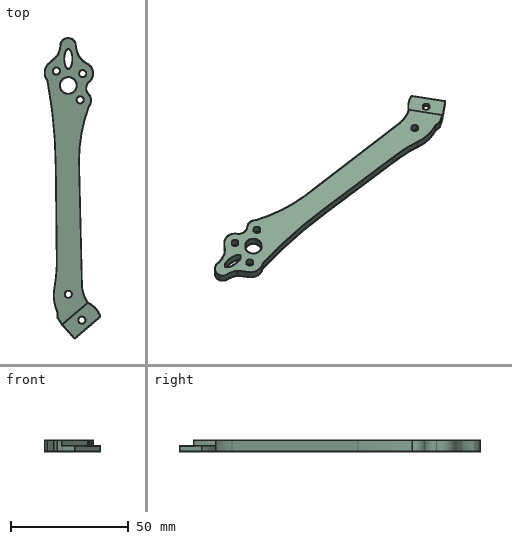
import cadquery as cq
import math

THICKNESS = 5.0
TAB_THICKNESS = THICKNESS / 2
SCREW_DIAMETER = 3.0
SHAFT_DIAMETER = 7.0

MOTOR_SCREW_RADIUS = 7.9
MOTOR_SCREW_START_ANGLE = 39.5
MOTOR_SCREW_STEPS = (-1, 0, 1)

OPENING_Y = 11.2
OPENING_LENGTH = 8.5
OPENING_WIDTH = 3.3

ARM_SCREW = (0, -88.7)
TAB_SCREW = (5.8, -99.7)
STEP_LEFT = (-2.7, -101.6)
STEP_RIGHT = (8.3, -92.3)
TAB_TIP = (2.7, -107.6)
TAB_CORNER = (13.7, -98.2)

NOSE_TOP = (0, 20.2)
NOSE_LEFT = (-3.3, 17.8)
NOSE_RIGHT = (3.2, 17.8)


def make_outline():
    """Closed arm profile, drawn counter-clockwise from the left of the nose."""
    profile = cq.Workplane("XY").moveTo(*NOSE_LEFT)
    profile = profile.threePointArc((-3.7, 15.2), (-4.7, 12.7)).lineTo(-8.5, 9.2)
    profile = profile.threePointArc((-10.1, 5.8), (-9.0, 2.2))
    profile = profile.threePointArc((-6.4, -15.6), (-5.4, -35.2)).lineTo(-5.0, -72.5)
    profile = profile.threePointArc((-5.1, -79.3), (-5.9, -85.7))
    profile = profile.threePointArc((-6.1, -91.0), (-4.6, -96.4))
    profile = profile.lineTo(-4.6, -98.7).lineTo(*STEP_LEFT)
    profile = profile.lineTo(*TAB_TIP).lineTo(*TAB_CORNER)
    profile = profile.threePointArc((11.6, -94.7), STEP_RIGHT)
    profile = profile.threePointArc((6.8, -89.4), (5.9, -85.4)).lineTo(4.6, -32.0)
    profile = profile.threePointArc((5.8, -19.8), (8.8, -8.8))
    profile = profile.threePointArc((9.7, -6.1), (8.6, -3.6))
    profile = profile.threePointArc((7.7, -1.0), (8.7, 1.4))
    profile = profile.threePointArc((10.6, 5.1), (8.2, 9.2)).lineTo(6.6, 10.1)
    profile = profile.lineTo(4.9, 12.0).threePointArc((3.7, 14.6), NOSE_RIGHT)
    return profile.threePointArc(NOSE_TOP, NOSE_LEFT).close()


def motor_screw_points():
    """Centres of the motor screws around the shaft."""
    angles = [math.radians(MOTOR_SCREW_START_ANGLE + 90 * step) for step in MOTOR_SCREW_STEPS]
    return [(MOTOR_SCREW_RADIUS * math.cos(a), MOTOR_SCREW_RADIUS * math.sin(a)) for a in angles]


def make_hole_cutters():
    """Through cutters for the screws, the shaft and the cable opening."""
    screw_points = motor_screw_points() + [ARM_SCREW, TAB_SCREW]
    plane = cq.Workplane("XY")
    screws = plane.pushPoints(screw_points).circle(SCREW_DIAMETER / 2).extrude(THICKNESS)
    shaft = plane.circle(SHAFT_DIAMETER / 2).extrude(THICKNESS)
    opening = plane.center(0, OPENING_Y).ellipse(OPENING_WIDTH / 2, OPENING_LENGTH / 2).extrude(THICKNESS)
    return screws.add(shaft).add(opening)


def make_tab_step():
    """Cutter that removes the upper half of the arm beyond the step line."""
    run_x = STEP_RIGHT[0] - STEP_LEFT[0]
    run_y = STEP_RIGHT[1] - STEP_LEFT[1]
    width = math.hypot(run_x, run_y)
    plane = cq.Plane(origin=(*STEP_LEFT, TAB_THICKNESS), xDir=(run_x, run_y, 0), normal=(0, 0, 1))
    size = (3 * width, width, THICKNESS)
    return cq.Workplane(plane).center(width / 2, -width / 2).box(*size, centered=(True, True, False))


arm = make_outline().extrude(THICKNESS).cut(make_tab_step())
for cutter in make_hole_cutters().vals():
    arm = arm.cut(cq.Workplane(cutter))
result = arm